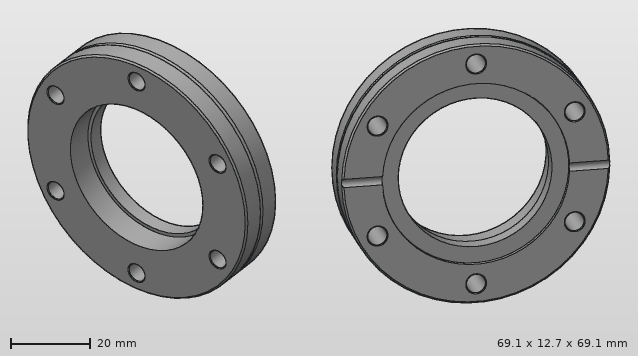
import cadquery as cq

outer_diameter = 69.1
thickness = 12.7
rim_chamfer = 0.5

bore_diameter = 39.6
counterbore_diameter = 41.5
counterbore_depth = 7.4

recess_diameter = 48.2
recess_depth = 1.2

rim_groove_width = 1.05
rim_groove_depth = 0.3

hole_count = 6
hole_diameter = 4.9
hole_circle_diameter = 58.7
hole_chamfer = 0.23

leak_groove_width = 2.2
leak_groove_depth = 0.6

front_y = -thickness / 2
back_y = thickness / 2
outer_radius = outer_diameter / 2


def ring_body():
    """Revolve the half section (radius, y) about the Y axis."""
    bore_radius = bore_diameter / 2
    counterbore_radius = counterbore_diameter / 2
    recess_radius = recess_diameter / 2
    recess_floor_y = back_y - recess_depth
    step_y = front_y + counterbore_depth
    groove_half_width = rim_groove_width / 2
    chamfer_radius = outer_radius - rim_chamfer
    section = (
        cq.Workplane("XY")
        .moveTo(counterbore_radius, front_y)
        .lineTo(chamfer_radius, front_y)
        .lineTo(outer_radius, front_y + rim_chamfer)
        .lineTo(outer_radius, -groove_half_width)
        .threePointArc((outer_radius - rim_groove_depth, 0), (outer_radius, groove_half_width))
        .lineTo(outer_radius, back_y - rim_chamfer)
        .lineTo(chamfer_radius, back_y)
        .lineTo(recess_radius, back_y)
        .lineTo(recess_radius, recess_floor_y)
        .lineTo(bore_radius, recess_floor_y)
        .lineTo(bore_radius, step_y)
        .lineTo(counterbore_radius, step_y)
        .close()
    )
    return section.revolve(360, (0, 0, 0), (0, 1, 0))


def bolt_hole_cutter():
    """Solid of one through hole above the bore (+Z), chamfered at both faces."""
    hole_radius = hole_diameter / 2
    mouth_radius = hole_radius + hole_chamfer
    section = (
        cq.Workplane("XY")
        .moveTo(0, front_y)
        .lineTo(mouth_radius, front_y)
        .lineTo(hole_radius, front_y + hole_chamfer)
        .lineTo(hole_radius, back_y - hole_chamfer)
        .lineTo(mouth_radius, back_y)
        .lineTo(0, back_y)
        .close()
    )
    cutter = section.revolve(360, (0, 0, 0), (0, 1, 0))
    return cutter.translate((0, 0, hole_circle_diameter / 2))


def leak_groove_cutter():
    """Cylinder along X whose lower segment sinks into the back face."""
    half_width = leak_groove_width / 2
    groove_radius = (half_width**2 + leak_groove_depth**2) / (2 * leak_groove_depth)
    axis_y = back_y - leak_groove_depth + groove_radius
    return (
        cq.Workplane("YZ")
        .center(axis_y, 0)
        .circle(groove_radius)
        .extrude(outer_radius, both=True)
    )


result = ring_body()
for index in range(hole_count):
    angle = index * 360 / hole_count
    result = result.cut(bolt_hole_cutter().rotate((0, 0, 0), (0, 1, 0), angle))
result = result.cut(leak_groove_cutter())